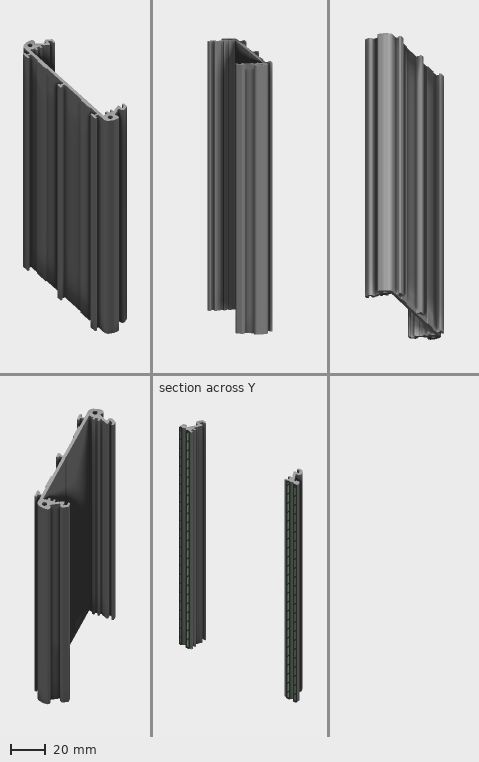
import cadquery as cq

LENGTH = 156.5
WIDTH = 86.9
HEIGHT = 21.5
HALF_WIDTH = WIDTH / 2

BASE_BOTTOM = 3.6
BASE_TOP = 5.5
CORNER_X = 39.5
GROOVE_DEPTH = 0.5

PAD_BOTTOM = 3.0
PAD_INNER = 17.4
PAD_OUTER = 26.0

FOOT_THICKNESS = 1.4
FOOT_ROUNDING = 0.3
SIDE_FOOT_X = 33.5
SIDE_FOOT_WIDTH = 5.0
SIDE_STEM_WIDTH = 1.1
MIDDLE_FOOT_WIDTH = 3.5
MIDDLE_STEM_WIDTH = 1.4

CHANNEL_X = 39.9
CHANNEL_Y = 7.8
CHANNEL_DIAMETER = 3.0

WALL_INNER = 36.0
RELIEF_X = 36.5
NECK_ROOT_X = 36.3
NECK_INNER_X = 35.2
HEAD_TOP = 12.0
NOTCH_BOTTOM = 11.0

HOOK_OUTER = 38.8
HOOK_TIP = 34.0
HOOK_CORNER = 34.5
MOUTH_TOP = 20.0
MOUTH_BOTTOM = 18.0
MOUTH_BACK = 37.0

FIN_TIP = 34.5
FIN_THICKNESS = 1.1
UPPER_FIN_TOP = 12.5
LOWER_FIN_TOP = 9.5
LIP_WIDTH = 0.5
LIP_HEIGHT = 0.5


def block(x_min, x_max, y_min, y_max):
    """Full-length bar with a rectangular section."""
    return (
        cq.Workplane("XY")
        .center((x_min + x_max) / 2, (y_min + y_max) / 2)
        .rect(x_max - x_min, y_max - y_min)
        .extrude(LENGTH)
    )


def t_foot(x, foot_width, stem_width):
    """Upside-down T hanging from the base plate."""
    flange = block(x - foot_width / 2, x + foot_width / 2, 0, FOOT_THICKNESS)
    flange = flange.edges("|Z").fillet(FOOT_ROUNDING)
    stem = block(x - stem_width / 2, x + stem_width / 2, 0, BASE_TOP - GROOVE_DEPTH)
    return flange.union(stem)


def side_wall():
    """Wall with rounded outer head, slanted neck and hooked top, on the +X side."""
    return (
        cq.Workplane("XY")
        .moveTo(RELIEF_X, BASE_BOTTOM)
        .lineTo(CORNER_X, BASE_BOTTOM)
        .threePointArc((41.5, 4.2), (42.4, 5.5))
        .lineTo(43.4, 8.0)
        .lineTo(HALF_WIDTH, 8.8)
        .lineTo(HALF_WIDTH, 10.5)
        .threePointArc((43.0, 11.6), (42.0, HEAD_TOP))
        .lineTo(41.2, HEAD_TOP)
        .threePointArc((40.5, 11.7), (40.0, NOTCH_BOTTOM))
        .lineTo(39.6, NOTCH_BOTTOM)
        .lineTo(36.5, 15.8)
        .lineTo(36.6, 16.5)
        .lineTo(37.4, 16.7)
        .lineTo(37.9, 16.5)
        .lineTo(HOOK_OUTER, 17.5)
        .threePointArc((39.0, 18.2), (HOOK_OUTER, 18.8))
        .lineTo(37.4, 21.0)
        .lineTo(37.1, HEIGHT)
        .lineTo(HOOK_CORNER, HEIGHT)
        .lineTo(HOOK_TIP, 20.8)
        .lineTo(HOOK_TIP, MOUTH_TOP)
        .lineTo(35.8, MOUTH_TOP)
        .lineTo(MOUTH_BACK, 18.5)
        .lineTo(MOUTH_BACK, MOUTH_BOTTOM)
        .lineTo(HOOK_CORNER, MOUTH_BOTTOM)
        .lineTo(HOOK_TIP, 17.7)
        .lineTo(HOOK_TIP, 17.0)
        .lineTo(NECK_INNER_X, 15.2)
        .lineTo(NECK_INNER_X, 14.4)
        .lineTo(NECK_ROOT_X, 13.3)
        .lineTo(NECK_ROOT_X, UPPER_FIN_TOP)
        .lineTo(WALL_INNER, UPPER_FIN_TOP)
        .lineTo(WALL_INNER, 7.0)
        .lineTo(RELIEF_X, 6.5)
        .lineTo(RELIEF_X, BASE_BOTTOM)
        .close()
        .extrude(LENGTH)
    )


def fin(top):
    """Flat fin reaching inward from the wall, given its upper face."""
    return block(FIN_TIP, NECK_ROOT_X, top - FIN_THICKNESS, top)


def half_extrusion():
    """Everything on the +X side except the middle foot."""
    base = block(0, CORNER_X, BASE_BOTTOM, BASE_TOP)
    pad = block(PAD_INNER, PAD_OUTER, PAD_BOTTOM, BASE_TOP)
    lip_top = LOWER_FIN_TOP - FIN_THICKNESS
    lip = block(FIN_TIP, FIN_TIP + LIP_WIDTH, lip_top - LIP_HEIGHT, lip_top)
    channel = (
        cq.Workplane("XY")
        .center(CHANNEL_X, CHANNEL_Y)
        .circle(CHANNEL_DIAMETER / 2)
        .extrude(LENGTH)
    )
    return (
        base.union(pad)
        .union(side_wall())
        .union(fin(UPPER_FIN_TOP))
        .union(fin(LOWER_FIN_TOP))
        .union(lip)
        .union(t_foot(SIDE_FOOT_X, SIDE_FOOT_WIDTH, SIDE_STEM_WIDTH))
        .cut(channel)
    )


half = half_extrusion()
middle_foot = t_foot(0, MIDDLE_FOOT_WIDTH, MIDDLE_STEM_WIDTH)
groove = (
    cq.Workplane("XY")
    .polyline([(-GROOVE_DEPTH, BASE_TOP), (0, BASE_TOP - GROOVE_DEPTH), (GROOVE_DEPTH, BASE_TOP)])
    .close()
    .extrude(LENGTH)
)

result = half.union(half.mirror("YZ")).union(middle_foot).cut(groove)